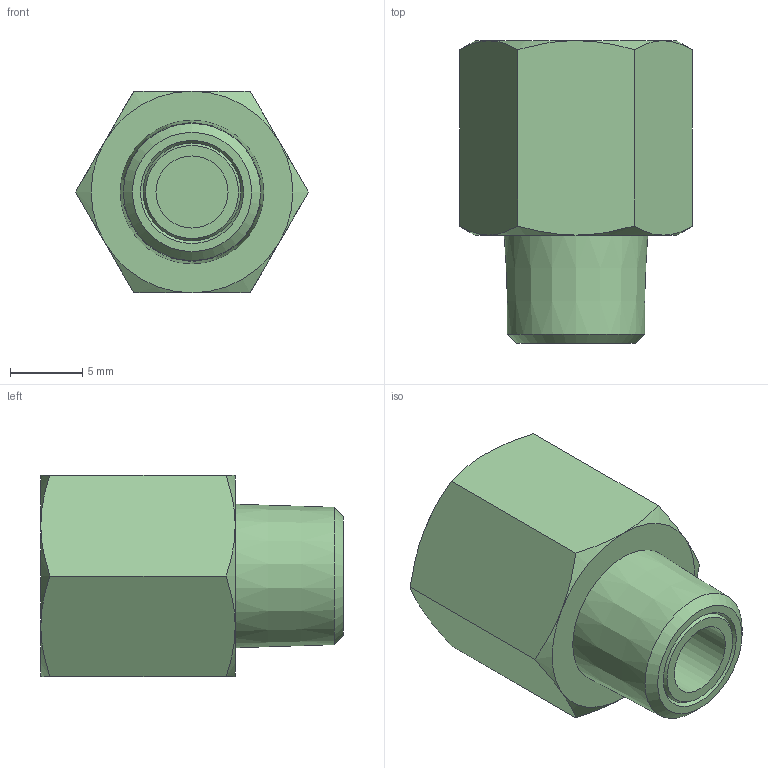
import math
import cadquery as cq

total_length = 21.0
across_flats = 14.0
shank_length = 7.5
hex_length = total_length - shank_length

hex_chamfer_angle = 30.0

shank_root_radius = 4.98
shank_taper = 1.0 / 16.0
tip_chamfer = 0.625

bore_diameter = 5.0
bore_depth = shank_length

groove_outer_radius = 3.58
groove_bottom_radius = 3.4
groove_inner_radius = 3.23
groove_depth = 0.25

tip_y = -shank_length
corner_radius = across_flats / 2 / math.cos(math.radians(30))


def revolve_profile(points):
    """Revolve a closed (radius, y) outline about the Y axis."""
    outline = [(y, radius) for radius, y in points]
    return cq.Workplane("YZ").polyline(outline).close().revolve(360, (0, 0), (1, 0))


def make_hexagon():
    """Hexagonal body with corners on the X axis, chamfered at both ends."""
    body = (
        cq.Workplane("XZ")
        .polygon(6, 2 * corner_radius)
        .extrude(-hex_length)
    )
    flat_radius = across_flats / 2
    chamfer_height = (corner_radius - flat_radius) * math.tan(math.radians(hex_chamfer_angle))
    chamfer_envelope = revolve_profile([
        (0, 0),
        (flat_radius, 0),
        (corner_radius, chamfer_height),
        (corner_radius, hex_length - chamfer_height),
        (flat_radius, hex_length),
        (0, hex_length),
    ])
    return body.intersect(chamfer_envelope)


def make_shank():
    """Tapered shank with a 45 degree chamfer at its tip."""
    taper_length = shank_length - tip_chamfer
    taper_end_radius = shank_root_radius - taper_length * shank_taper / 2
    return revolve_profile([
        (0, 0),
        (shank_root_radius, 0),
        (taper_end_radius, -taper_length),
        (taper_end_radius - tip_chamfer, tip_y),
        (0, tip_y),
    ])


def make_bore():
    """Flat-bottomed bore entering from the tip."""
    return (
        cq.Workplane("XZ", origin=(0, tip_y, 0))
        .circle(bore_diameter / 2)
        .extrude(-bore_depth)
    )


def make_ring_groove():
    """V-section ring cut into the tip face."""
    return revolve_profile([
        (groove_inner_radius, tip_y),
        (groove_bottom_radius, tip_y + groove_depth),
        (groove_outer_radius, tip_y),
    ])


result = make_hexagon().union(make_shank()).cut(make_bore()).cut(make_ring_groove())